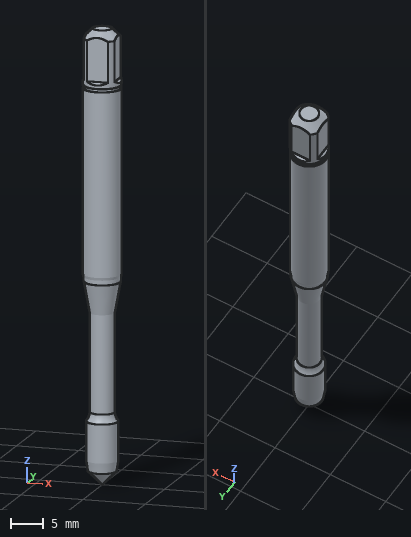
import cadquery as cq

length = 72.2
shank_diameter = 6.0

across_flats = 5.0
flat_bottom = 64.25
run_out_height = 0.4
end_face_diameter = 3.0

groove_diameter = 5.8
groove_top = 63.25
groove_bottom = 62.75

shank_bottom = 33.35
land_diameter = 5.8
land_top = 32.9
land_bottom = 32.2
taper_diameter = 5.7
neck_diameter = 3.9
neck_top = 27.2

head_top = 11.55
head_diameter = 5.0
head_shoulder = 10.1
flare_rise = head_top - head_shoulder
flare_step = (head_diameter - neck_diameter) / 2
flare_radius = (flare_rise**2 + flare_step**2) / (2 * flare_step)
lead_top = 3.9
lead_diameter = 4.5
tip_height = lead_diameter / 2


def revolve_profile(points):
    """Solid of revolution about Z from (radius, height) points on its half section."""
    return cq.Workplane("XZ").polyline(points).close().revolve(360, (0, 0, 0), (0, 1, 0))


def flat_cutter():
    """Material outside the -Y flat, with a sloping run-out at its lower end."""
    flat_y = -across_flats / 2
    reach = shank_diameter / 2
    run_out_slope = run_out_height / (reach - across_flats / 2)
    profile = [
        (flat_y, flat_bottom),
        (flat_y, length),
        (flat_y - reach, length),
        (flat_y - reach, flat_bottom - reach * run_out_slope),
    ]
    return cq.Workplane("YZ").polyline(profile).close().extrude(reach, both=True)


def make_shank():
    """Shank with square drive, ring groove, taper and neck."""
    shank_radius = shank_diameter / 2
    end_radius = end_face_diameter / 2
    shank = revolve_profile([
        (0, head_top),
        (neck_diameter / 2, head_top),
        (neck_diameter / 2, neck_top),
        (taper_diameter / 2, land_bottom),
        (land_diameter / 2, land_bottom),
        (land_diameter / 2, land_top),
        (shank_radius, shank_bottom),
        (shank_radius, groove_bottom),
        (groove_diameter / 2, groove_bottom),
        (groove_diameter / 2, groove_top),
        (shank_radius, groove_top),
        (shank_radius, length - (shank_radius - end_radius)),
        (end_radius, length),
        (0, length),
    ])
    for angle in (0, 90, 180, 270):
        shank = shank.cut(flat_cutter().rotate((0, 0, 0), (0, 0, 1), angle))
    return shank


def make_head():
    """Cutting head with a flared shoulder, a tapered lead and a pointed tip."""
    head_radius = head_diameter / 2
    neck_radius = neck_diameter / 2
    half_section = (
        cq.Workplane("XZ")
        .moveTo(0, 0)
        .lineTo(lead_diameter / 2, tip_height)
        .lineTo(head_radius, lead_top)
        .lineTo(head_radius, head_shoulder)
        .radiusArc((neck_radius, head_top), flare_radius)
        .lineTo(0, head_top)
        .close()
    )
    return half_section.revolve(360, (0, 0, 0), (0, 1, 0))


shank = make_shank()
head = make_head()
result = cq.Compound.makeCompound([shank.val(), head.val()])